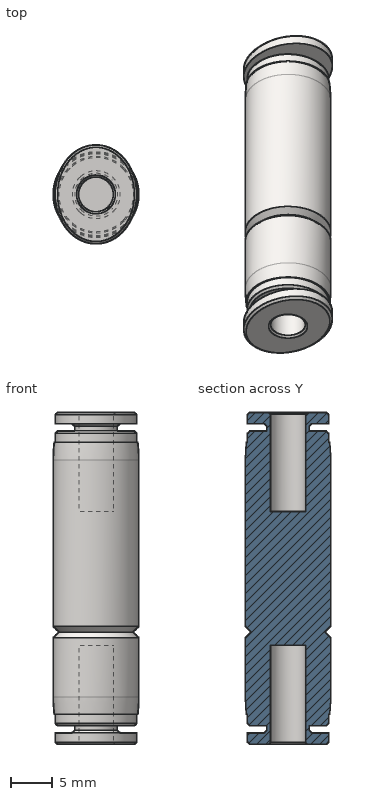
import cadquery as cq

total_length = 40.2
body_diameter = 10.4

flange_width_x = 9.9
flange_width_y = 12.0
flange_thickness = 1.4
flange_chamfer = 0.3

neck_diameter = 5.2
neck_gap = 0.85
neck_flare = 0.3

collar_diameter = 9.9
collar_length = 1.4
collar_chamfer = 0.3
crown_end_diameter = 10.15
crown_length = 2.1
crown_bulge_share = 0.75

groove_center_z = 13.6
groove_depth = 0.7

socket_diameter = 4.2
socket_depth = 12.0
socket_chamfer = 0.25

body_radius = body_diameter / 2
body_bottom_z = flange_thickness + neck_gap
body_top_z = total_length - body_bottom_z


def make_body():
    """Revolve the body profile, with its collars, crowned shoulders and V groove."""
    collar_radius = collar_diameter / 2
    crown_end_radius = crown_end_diameter / 2
    crown_mid_radius = crown_end_radius + crown_bulge_share * (body_radius - crown_end_radius)
    lower_step_z = body_bottom_z + collar_length
    upper_step_z = body_top_z - collar_length
    profile = (
        cq.Workplane("XZ")
        .moveTo(0, body_bottom_z)
        .lineTo(collar_radius - collar_chamfer, body_bottom_z)
        .lineTo(collar_radius, body_bottom_z + collar_chamfer)
        .lineTo(collar_radius, lower_step_z)
        .lineTo(crown_end_radius, lower_step_z)
        .threePointArc(
            (crown_mid_radius, lower_step_z + crown_length / 2),
            (body_radius, lower_step_z + crown_length),
        )
        .lineTo(body_radius, groove_center_z - groove_depth)
        .lineTo(body_radius - groove_depth, groove_center_z)
        .lineTo(body_radius, groove_center_z + groove_depth)
        .lineTo(body_radius, upper_step_z - crown_length)
        .threePointArc(
            (crown_mid_radius, upper_step_z - crown_length / 2),
            (crown_end_radius, upper_step_z),
        )
        .lineTo(collar_radius, upper_step_z)
        .lineTo(collar_radius, body_top_z - collar_chamfer)
        .lineTo(collar_radius - collar_chamfer, body_top_z)
        .lineTo(0, body_top_z)
        .close()
    )
    return profile.revolve(360, (0, 0, 0), (0, 1, 0))


def make_bottom_end():
    """Build the oval flange with its chamfered outer rim, and the flared neck above it."""
    flange = (
        cq.Workplane("XY")
        .ellipse(flange_width_x / 2, flange_width_y / 2)
        .extrude(flange_thickness)
        .faces("<Z")
        .chamfer(flange_chamfer)
    )
    neck_radius = neck_diameter / 2
    neck = (
        cq.Workplane("XZ")
        .moveTo(0, flange_thickness)
        .lineTo(neck_radius + neck_flare, flange_thickness)
        .lineTo(neck_radius, flange_thickness + neck_flare)
        .lineTo(neck_radius, body_bottom_z)
        .lineTo(0, body_bottom_z)
        .close()
        .revolve(360, (0, 0, 0), (0, 1, 0))
    )
    return flange.union(neck)


def make_bottom_socket():
    """Build the volume removed by the blind tube socket and its chamfered mouth."""
    socket_radius = socket_diameter / 2
    return (
        cq.Workplane("XZ")
        .lineTo(socket_radius + socket_chamfer, 0)
        .lineTo(socket_radius, socket_chamfer)
        .lineTo(socket_radius, socket_depth)
        .lineTo(0, socket_depth)
        .close()
        .revolve(360, (0, 0, 0), (0, 1, 0))
    )


def mirrored_to_top(shape):
    """Mirror a bottom-end shape about the middle of the part's length."""
    return shape.mirror("XY", (0, 0, total_length / 2))


bottom_end = make_bottom_end()
bottom_socket = make_bottom_socket()

result = make_body().union(bottom_end).union(mirrored_to_top(bottom_end))
result = result.cut(bottom_socket).cut(mirrored_to_top(bottom_socket))